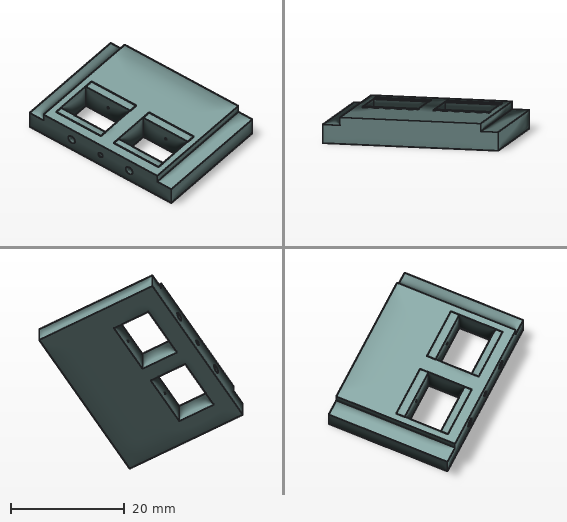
import cadquery as cq

length = 31.78
depth = 23.0
height = 4.75
step_width = 3.15
step_drop = 1.4

window_spacing = 12.9
recess_size = 10.0
recess_front = 1.97
recess_depth = 0.13
opening_front = 3.37
opening_depth = 7.0

hole_z = height / 2
side_hole_diameter = 1.53
pin_hole_diameter = 0.35
pin_hole_depth = 1.9
center_hole_diameter = 0.9
center_hole_mouth_diameter = 1.0
center_hole_depth = 3.02
drill_tip_height = 0.25

window_centers = (-window_spacing / 2, window_spacing / 2)


def box_from_front(width, front, y_size, bottom, top, center_x=0.0):
    """Box centred at center_x, starting at Y = front, between two heights."""
    corner = (center_x - width / 2, front, bottom)
    return cq.Workplane("XY").box(width, y_size, top - bottom, centered=False).translate(corner)


def bore(diameter, start_y, bore_depth, center_x):
    """Cylinder running toward +Y at the height of the hole row."""
    start = cq.Vector(center_x, start_y, hole_z)
    return cq.Solid.makeCylinder(diameter / 2, bore_depth, start, cq.Vector(0, 1, 0))


def window_cut(center_x):
    """Shallow recess and the opening below it."""
    recess = box_from_front(recess_size, recess_front, recess_size, height - recess_depth, height, center_x)
    opening = box_from_front(recess_size, opening_front, opening_depth, 0.0, height, center_x)
    return recess.union(opening)


def center_hole():
    """Blind drilled hole with a chamfered mouth and a conical tip."""
    radius = center_hole_diameter / 2
    mouth_radius = center_hole_mouth_diameter / 2
    profile = (
        cq.Workplane("XY")
        .moveTo(0, 0)
        .lineTo(mouth_radius, 0)
        .lineTo(radius, mouth_radius - radius)
        .lineTo(radius, center_hole_depth)
        .lineTo(0, center_hole_depth + drill_tip_height)
        .close()
    )
    return profile.revolve(360, (0, 0, 0), (0, 1, 0)).translate((0, 0, hole_z))


result = box_from_front(length, 0.0, depth, 0.0, height - step_drop)
result = result.union(box_from_front(length - 2 * step_width, 0.0, depth, 0.0, height))

for window_x in window_centers:
    result = result.cut(window_cut(window_x))
    result = result.cut(cq.Workplane(bore(side_hole_diameter, 0.0, opening_front, window_x)))
    rear_wall_y = opening_front + opening_depth
    result = result.cut(cq.Workplane(bore(pin_hole_diameter, rear_wall_y, pin_hole_depth, window_x)))

result = result.cut(center_hole())